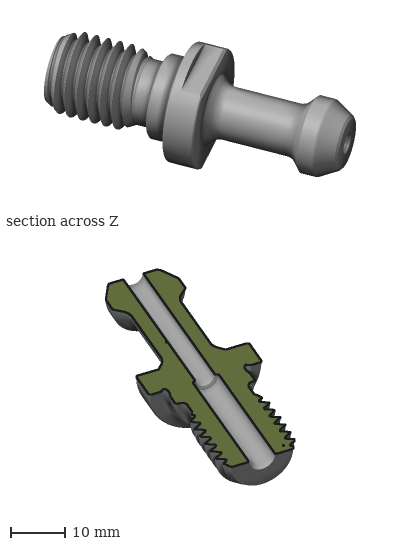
import cadquery as cq
import math

total_length = 57.15
thread_end = 17.45
neck_end = 19.55
collar_start = 20.6
collar_taper_start = 23.0
collar_taper_end = 24.0
flange_start = 25.0
flat_start = 27.0
flange_end = 31.1
shank_start = 34.0
shank_end = 46.7
head_start = 50.05
head_taper_start = 53.15

core_radius = 6.3
thread_radius = 8.0
collar_radius = 8.1
collar_edge = 0.3
collar_seat_radius = 7.85
flange_radius = 11.5
flange_edge = 0.45
shank_radius = 5.05
head_radius = 7.45
shank_blend_radius = 2.7
head_edge = 0.45
head_corner = 0.25
taper_angle = math.radians(30)
taper_slope = math.tan(taper_angle)

relief_outer_radius = 9.2
relief_inner_radius = 8.35
relief_depth = 0.5
relief_start = 24.7

pitch = 2.31
crest_width = 0.05
thread_overlap = 0.2
crest_clearance = 0.1
first_crest = 4.05

flat_height = 9.55
flat_chamfer = 0.5
bore_radius = 2.65
through_radius = 2.0
bore_depth = flange_start


def revolve_about_x(profile):
    return profile.close().revolve(360, (0, 0, 0), (1, 0, 0))


def make_body():
    neck_blend = collar_start - neck_end
    cos_45 = math.sqrt(0.5)
    blend_length = shank_blend_radius * cos_45
    blend_rise = shank_blend_radius * (1 - cos_45)
    blend_middle = math.radians(22.5)
    head_end_radius = head_radius - taper_slope * (total_length - head_taper_start)

    root_length = shank_start - blend_length - flange_end
    shank_root_radius = shank_radius + blend_rise + root_length

    profile = (
        cq.Workplane("XY")
        .moveTo(0, 0)
        .lineTo(0, core_radius)
        .lineTo(neck_end, core_radius)
        .threePointArc(
            (neck_end + neck_blend * cos_45, core_radius + neck_blend * (1 - cos_45)),
            (collar_start, core_radius + neck_blend),
        )
        .lineTo(collar_start, collar_radius - collar_edge)
        .lineTo(collar_start + collar_edge, collar_radius)
        .lineTo(collar_taper_start, collar_radius)
        .lineTo(collar_taper_end, collar_seat_radius)
        .lineTo(relief_start, collar_seat_radius)
        .tangentArcPoint((flange_start + relief_depth, relief_inner_radius), relative=False)
        .lineTo(flange_start, relief_outer_radius)
        .lineTo(flange_start, flange_radius - flange_edge)
        .radiusArc((flange_start + flange_edge, flange_radius), flange_edge)
        .lineTo(flange_end - flange_edge, flange_radius)
        .radiusArc((flange_end, flange_radius - flange_edge), flange_edge)
        .lineTo(flange_end, shank_root_radius)
        .lineTo(shank_start - blend_length, shank_radius + blend_rise)
        .threePointArc(
            (
                shank_start - shank_blend_radius * math.sin(blend_middle),
                shank_radius + shank_blend_radius * (1 - math.cos(blend_middle)),
            ),
            (shank_start, shank_radius),
        )
        .lineTo(shank_end, shank_radius)
        .threePointArc(
            (
                shank_end + shank_blend_radius * math.sin(blend_middle),
                shank_radius + shank_blend_radius * (1 - math.cos(blend_middle)),
            ),
            (shank_end + blend_length, shank_radius + blend_rise),
        )
        .lineTo(head_start, head_radius)
        .lineTo(head_taper_start - head_corner, head_radius)
        .tangentArcPoint(
            (
                head_taper_start + head_corner * math.cos(taper_angle),
                head_radius - head_corner * math.sin(taper_angle),
            ),
            relative=False,
        )
        .lineTo(total_length - head_edge, head_end_radius + head_edge * taper_slope)
        .lineTo(total_length, head_end_radius - head_edge * taper_slope)
        .lineTo(total_length, 0)
    )
    return revolve_about_x(profile)


def make_thread():
    root_radius = core_radius - thread_overlap
    half_crest = crest_width / 2
    half_root = half_crest + (thread_radius - root_radius) * taper_slope
    start = first_crest - 3 * pitch
    length = thread_end + 2 * pitch - start
    helix = cq.Wire.makeHelix(pitch, length, root_radius)
    ridge = (
        cq.Workplane("XZ")
        .polyline([
            (root_radius, -half_root),
            (thread_radius, -half_crest),
            (thread_radius, half_crest),
            (root_radius, half_root),
        ])
        .close()
        .sweep(cq.Workplane(helix), isFrenet=True)
    )
    ridge = ridge.rotate((0, 0, 0), (0, 1, 0), 90)
    ridge = ridge.rotate((0, 0, 0), (1, 0, 0), 180)
    ridge = ridge.translate((start, 0, 0))

    clear_radius = thread_radius + crest_clearance
    fade_length = (clear_radius - core_radius) / taper_slope
    envelope = (
        cq.Workplane("XY")
        .moveTo(0, 0)
        .lineTo(0, core_radius)
        .lineTo(fade_length, clear_radius)
        .lineTo(thread_end - fade_length, clear_radius)
        .lineTo(thread_end, core_radius)
        .lineTo(thread_end, 0)
    )
    return ridge.intersect(revolve_about_x(envelope))


def cut_flats(body):
    for side in (1, -1):
        cutter = (
            cq.Workplane("XZ")
            .moveTo(flat_start, side * flat_height)
            .lineTo(flange_end - flat_chamfer, side * flat_height)
            .lineTo(flange_end, side * (flat_height - flat_chamfer))
            .lineTo(flange_end, side * 2 * flange_radius)
            .lineTo(flat_start, side * 2 * flange_radius)
            .close()
            .extrude(flange_radius, both=True)
        )
        body = body.cut(cutter)
    return body


def make_bore():
    shoulder_end = bore_depth + (bore_radius - through_radius) * taper_slope
    profile = (
        cq.Workplane("XY")
        .moveTo(0, 0)
        .lineTo(0, bore_radius)
        .lineTo(bore_depth, bore_radius)
        .lineTo(shoulder_end, through_radius)
        .lineTo(total_length, through_radius)
        .lineTo(total_length, 0)
    )
    return revolve_about_x(profile)


result = cut_flats(make_body()).union(make_thread()).cut(make_bore())